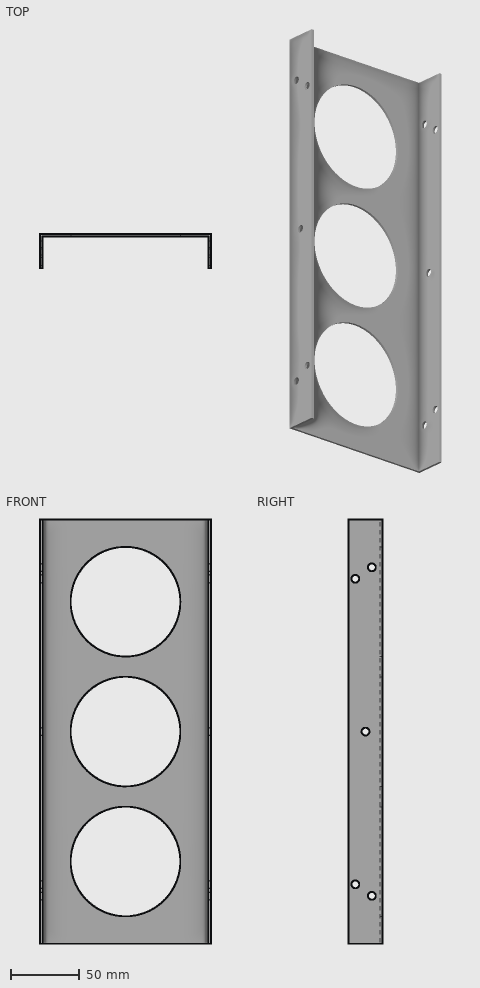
import cadquery as cq

width = 125.0
depth = 25.0
height = 310.0
wall = 2.0

opening_diameter = 80.0
opening_spacing = 95.0

mount_diameter = 5.5
rear_hole_offset_y = 4.5
rear_hole_offset_z = 120.0
front_hole_offset_y = 7.5
front_hole_offset_z = 111.5


def make_channel():
    """U-shaped channel centred on the origin, open toward -Y."""
    block = cq.Workplane("XY").box(width, depth, height)
    hollow = cq.Workplane("XY").box(width - 2 * wall, depth, height).translate((0, -wall, 0))
    return block.cut(hollow)


def make_openings():
    """Row of round cutters along Z for the back plate."""
    centers = [(0, row * opening_spacing) for row in (-1, 0, 1)]
    return (
        cq.Workplane("XZ")
        .pushPoints(centers)
        .circle(opening_diameter / 2)
        .extrude(depth, both=True)
    )


def make_mount_holes():
    """Cutters along X: one central hole and a staggered pair near each end."""
    centers = [(0, 0)]
    for end in (-1, 1):
        centers.append((rear_hole_offset_y, end * rear_hole_offset_z))
        centers.append((-front_hole_offset_y, end * front_hole_offset_z))
    return (
        cq.Workplane("YZ")
        .pushPoints(centers)
        .circle(mount_diameter / 2)
        .extrude(width, both=True)
    )


result = make_channel().cut(make_openings()).cut(make_mount_holes())